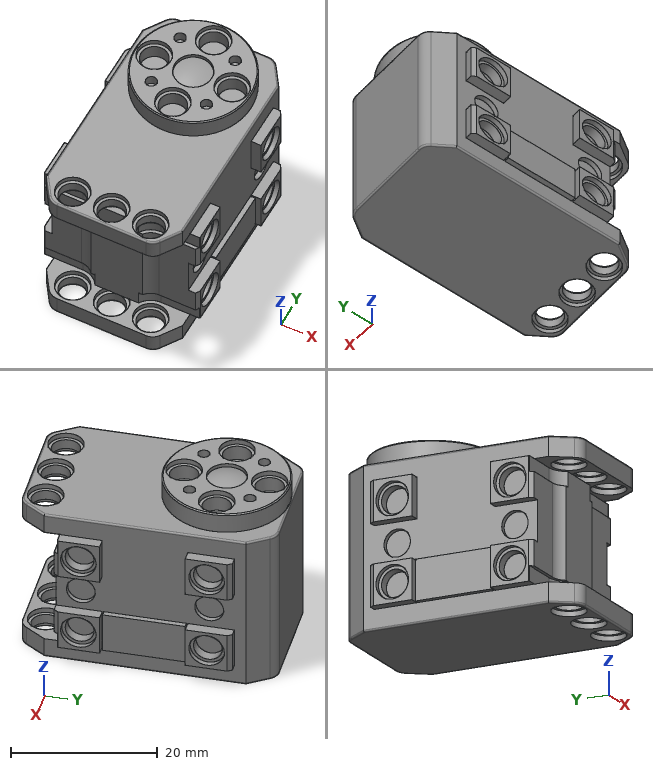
import cadquery as cq
import math

length = 36.0
case_width = 21.0
case_height = 24.0
plate_thickness = 3.0
edge_break = 0.25
corner_leg_x = 2.55
corner_leg_y = 3.85
corner_radius = 2.0

hole_pitch = length / 6
hole_radius = 2.0
bore_radius = 2.5
bore_depth = 0.75

fork_hole_y = -length / 2 + hole_pitch / 2
wall_center_y = -13.5
wall_clearance = 2.52
step_clearance = 3.02
step_height = 2.25

overall_width = 24.0
pad_y_inner = hole_pitch
pad_y_outer = 12.53
pad_bevel_x = 0.45
pad_bevel_y = 0.65
strip_width = 22.5
strip_length = 11.6
side_hole_y = length / 4
side_floor_x = 9.75

horn_y = side_hole_y
horn_radius = 8.9
horn_height = 3.0
horn_bevel = 0.18
pin_radius = 0.83
pin_depth = 1.5
cap_radius = 2.8
cap_depth = 0.55
cap_rise = 0.5

gap_bottom = plate_thickness
gap_top = case_height - plate_thickness
mid_z = case_height / 2


def block(x0, x1, y0, y1, z0, z1):
    """Box between two opposite corners."""
    return cq.Workplane("XY").box(x1 - x0, y1 - y0, z1 - z0, centered=False).translate((x0, y0, z0))


def plain_hole(radius, point, direction, depth):
    """Round cutter starting at a point and running along a direction."""
    return cq.Workplane(cq.Solid.makeCylinder(radius, depth, cq.Vector(*point), cq.Vector(*direction)))


def stepped_hole(point, direction, depth):
    """Cutter for a counterbored hole; the depth includes the counterbore."""
    bore = plain_hole(bore_radius, point, direction, bore_depth)
    return bore.union(plain_hole(hole_radius, point, direction, depth))


def make_case():
    """Full-height case with cut corners, rounded where the cuts meet the ends."""
    x = case_width / 2
    y = length / 2
    cut_x = x - corner_leg_x
    cut_y = y - corner_leg_y
    outline = [
        (-x, -cut_y), (-cut_x, -y), (cut_x, -y), (x, -cut_y),
        (x, cut_y), (cut_x, y), (-cut_x, y), (-x, cut_y),
    ]
    case = cq.Workplane("XY").polyline(outline).close().extrude(case_height)
    for side in (-1, 1):
        for end in (-1, 1):
            corner = cq.selectors.NearestToPointSelector((side * cut_x, end * y, mid_z))
            case = case.edges(corner).fillet(corner_radius)
    return case.faces("<Z or >Z").edges().fillet(edge_break)


def wall_space(clearance, z0, z1):
    """Space in front of the wall: a flat face that curves around each outer fork hole."""
    front = -length / 2
    side_x = overall_width / 2
    space = block(-hole_pitch, hole_pitch, front, wall_center_y, z0, z1)
    for side in (-1, 1):
        pocket = (
            cq.Workplane("XY", origin=(side * hole_pitch, fork_hole_y, z0))
            .circle(clearance)
            .extrude(z1 - z0)
        )
        x0, x1 = sorted((side * hole_pitch, side * side_x))
        flank = block(x0, x1, front, fork_hole_y + clearance, z0, z1)
        space = space.union(pocket).union(flank)
    return space


def make_pads():
    """Bars across the case whose bevelled ends are the side pads, and the strips of the lower row."""
    x = overall_width / 2
    front = fork_hole_y + wall_clearance
    pads = block(
        -strip_width / 2, strip_width / 2, -strip_length / 2, strip_length / 2,
        gap_bottom, gap_bottom + hole_pitch,
    )
    for z0 in (gap_bottom, gap_top - hole_pitch):
        for inner_y, outer_y in ((pad_y_inner, pad_y_outer), (-pad_y_inner, front)):
            bevel_y = outer_y - math.copysign(pad_bevel_y, outer_y)
            outline = [
                (-x, inner_y), (x, inner_y), (x, bevel_y),
                (x - pad_bevel_x, outer_y), (pad_bevel_x - x, outer_y), (-x, bevel_y),
            ]
            pad_row = cq.Workplane("XY", origin=(0, 0, z0)).polyline(outline).close().extrude(hole_pitch)
            pads = pads.union(pad_row)
    return pads


def make_horn():
    """Round output horn with a bevelled rim, four screw holes, four pin holes and a domed cap."""
    horn = cq.Workplane("XY").circle(horn_radius).extrude(horn_height)
    horn = horn.faces(">Z").edges().chamfer(horn_bevel)
    recess = cq.Workplane("XY", origin=(0, 0, horn_height - cap_depth)).circle(cap_radius).extrude(cap_depth)
    dome_radius = (cap_radius ** 2 + cap_rise ** 2) / (2 * cap_rise)
    dome_center_z = horn_height - cap_depth + cap_rise - dome_radius
    dome = cq.Workplane("XY").sphere(dome_radius).rotate((0, 0, 0), (1, 0, 0), 90)
    dome = dome.translate((0, 0, dome_center_z))
    recess = recess.cut(dome)
    horn = horn.cut(recess)
    for i in range(4):
        screw_angle = i * math.pi / 2
        pin_angle = screw_angle + math.pi / 4
        screw = (hole_pitch * math.cos(screw_angle), hole_pitch * math.sin(screw_angle), horn_height)
        pin = (hole_pitch * math.cos(pin_angle), hole_pitch * math.sin(pin_angle), horn_height)
        horn = horn.cut(stepped_hole(screw, (0, 0, -1), horn_height))
        horn = horn.cut(plain_hole(pin_radius, pin, (0, 0, -1), pin_depth))
    return horn.translate((0, horn_y, case_height))


body = make_case().union(make_pads())
body = body.cut(wall_space(wall_clearance, gap_bottom, gap_top))
for z0 in (gap_bottom, gap_top - step_height):
    body = body.cut(wall_space(step_clearance, z0, z0 + step_height))

for x in (-hole_pitch, 0, hole_pitch):
    for bottom in (0, gap_top):
        top = bottom + plate_thickness
        body = body.cut(stepped_hole((x, fork_hole_y, top), (0, 0, -1), plate_thickness))
        body = body.cut(stepped_hole((x, fork_hole_y, bottom), (0, 0, 1), plate_thickness))

pad_x = overall_width / 2
case_x = case_width / 2
for side in (-1, 1):
    inward = (-side, 0, 0)
    for y in (-side_hole_y, side_hole_y):
        for z in (mid_z - hole_pitch, mid_z + hole_pitch):
            body = body.cut(stepped_hole((side * pad_x, y, z), inward, pad_x - side_floor_x))
        plain_start = (side * case_x, y, mid_z)
        body = body.cut(plain_hole(hole_radius, plain_start, inward, case_x - side_floor_x))

result = body.union(make_horn())